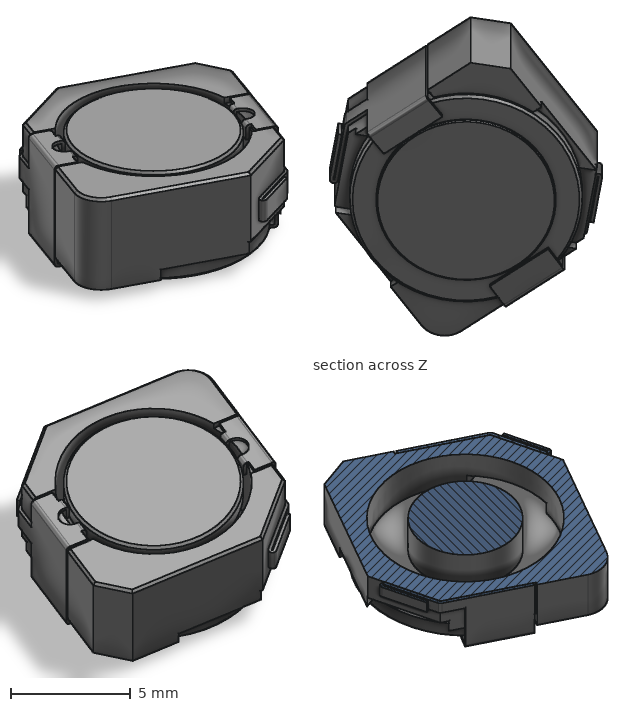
import cadquery as cq
import math


WIDTH = 10.0
HEIGHT = 4.8
HALF = WIDTH / 2

SHEET = 0.15
BEND_R = 0.18
INNER_BEND_R = BEND_R - SHEET
TERMINAL_W = 3.0
TAB_END = 3.99
FINGER_W = 1.96
FINGER_BOTTOM = 4.1
NOTCH_R = 0.49
NOTCH_CENTRE = 4.0
FOOT_END = 3.8
FOOT_ANGLE = 4.5
ARM_BOTTOM = 2.2
ARM_H = 1.0
FOLD_GAP = 0.05
FOLD_START = 0.96
FOLD_TIP = -1.16

DISC_D = 7.5
POST_D = 4.8
FLANGE_D = 9.7
PAD_BOTTOM = 0.15
FLANGE_BOTTOM = 0.27
FLANGE_TOP = 1.0
TOP_FLANGE_T = FLANGE_TOP - FLANGE_BOTTOM

BORE_D = 8.2
EDGE_CHAMFER = 0.12
SHIELD_BOTTOM = 0.5
RECESS_W = 3.2
RECESS_FLOOR = 4.52
BIG_CUT = 2.58
SMALL_CUT = 1.2
CHANNEL_W = 3.75
CHANNEL_TOP = 1.54

SEAT_Y = HALF - SHEET
CORNER_DIST = (WIDTH - BIG_CUT) / math.sqrt(2)


def block(x0, x1, y0, y1, z0, z1):
    """Box given by its limits."""
    return cq.Workplane("XY").box(x1 - x0, y1 - y0, z1 - z0, centered=False).translate((x0, y0, z0))


def cylinder(diameter, z0, z1):
    return cq.Workplane("XY").workplane(offset=z0).circle(diameter / 2).extrude(z1 - z0)


def half_turn(body):
    return body.rotate((0, 0, 0), (0, 0, 1), 180)


def shield_blank():
    """Outer outline; half of each terminal side is set back by the sheet thickness."""
    corner_x = HALF - BIG_CUT + SHEET
    straight = HALF - SMALL_CUT
    arc_mid = straight + SMALL_CUT * math.sqrt(0.5)
    return (
        cq.Workplane("XY").workplane(offset=SHIELD_BOTTOM)
        .moveTo(-HALF, -HALF + BIG_CUT)
        .lineTo(-corner_x, -SEAT_Y)
        .lineTo(0, -SEAT_Y)
        .lineTo(0, -HALF)
        .lineTo(straight, -HALF)
        .threePointArc((arc_mid, -arc_mid), (HALF, -straight))
        .lineTo(HALF, HALF - BIG_CUT)
        .lineTo(corner_x, SEAT_Y)
        .lineTo(0, SEAT_Y)
        .lineTo(0, HALF)
        .lineTo(-straight, HALF)
        .lineTo(-HALF, straight)
        .close()
        .extrude(HEIGHT - SHIELD_BOTTOM)
    )


def make_shield():
    edge = RECESS_W / 2
    body = shield_blank().faces(">Z").edges().chamfer(EDGE_CHAMFER)
    body = body.cut(cylinder(BORE_D, 0, HEIGHT))

    foot = block(-HALF, -edge, edge, HALF, 0, FLANGE_TOP).cut(cylinder(FLANGE_D, 0, FLANGE_TOP))
    underside = block(-HALF, HALF, -HALF, HALF, 0, FLANGE_TOP).cut(foot).cut(half_turn(foot))
    body = body.cut(underside)

    recess = block(-edge, edge, -HALF, 0, RECESS_FLOOR, HEIGHT)
    recess = recess.union(block(-edge, edge, -HALF, -SEAT_Y, 0, HEIGHT))
    channel = block(-WIDTH, 0, -CHANNEL_W / 2, CHANNEL_W / 2, 0, CHANNEL_TOP)
    channel = channel.rotate((0, 0, 0), (0, 0, 1), 45)
    for cutter in (recess, channel):
        body = body.cut(cutter).cut(half_turn(cutter))
    return body


def make_core():
    pad = cylinder(DISC_D, PAD_BOTTOM, FLANGE_BOTTOM).faces("<Z").chamfer(EDGE_CHAMFER / 2)
    flange = cylinder(FLANGE_D, FLANGE_BOTTOM, FLANGE_TOP).faces("<Z").chamfer(EDGE_CHAMFER)
    post = cylinder(POST_D, FLANGE_TOP, HEIGHT - TOP_FLANGE_T)
    top = cylinder(DISC_D, HEIGHT - TOP_FLANGE_T, HEIGHT).faces(">Z").chamfer(EDGE_CHAMFER)
    return pad.union(flange).union(post).union(top)


def bent_sheet(profile, width, bends):
    """Extrude a (Y, Z) profile symmetrically along X and round the listed corners."""
    sheet = cq.Workplane("YZ").polyline(profile).close().extrude(width / 2, both=True)
    for y, z, radius in bends:
        sheet = sheet.edges(cq.selectors.NearestToPointSelector((0, y, z))).fillet(radius)
    return sheet


def terminal_clip():
    """Top tab, upright wall and sloping solder foot."""
    underside = HEIGHT - SHEET
    slope = math.tan(math.radians(FOOT_ANGLE))
    stretch = math.hypot(1, slope)
    heel = BEND_R * (1 - stretch - slope)
    foot_tip = heel + slope * (HALF - FOOT_END)
    inner_heel = heel + SHEET * (slope + stretch)
    profile = [
        (-TAB_END, HEIGHT), (-HALF, HEIGHT), (-HALF, heel),
        (-FOOT_END, foot_tip), (-FOOT_END, foot_tip + SHEET * stretch),
        (-SEAT_Y, inner_heel), (-SEAT_Y, underside), (-TAB_END, underside),
    ]
    bends = [
        (-HALF, HEIGHT, BEND_R), (-SEAT_Y, underside, INNER_BEND_R),
        (-HALF, heel, BEND_R), (-SEAT_Y, inner_heel, INNER_BEND_R),
    ]
    return bent_sheet(profile, TERMINAL_W, bends)


def terminal_fingers():
    """Strip bent down into the gap around the core; the notch splits it in two."""
    tip = DISC_D / 2
    back = tip + SHEET
    underside = HEIGHT - SHEET
    profile = [
        (-SEAT_Y + BEND_R, HEIGHT), (-tip, HEIGHT), (-tip, FINGER_BOTTOM),
        (-back, FINGER_BOTTOM), (-back, underside), (-SEAT_Y + BEND_R, underside),
    ]
    bends = [(-tip, HEIGHT, BEND_R), (-back, underside, INNER_BEND_R)]
    return bent_sheet(profile, FINGER_W, bends)


def finger_notch():
    slot = block(-NOTCH_R, NOTCH_R, -NOTCH_CENTRE, 0, FINGER_BOTTOM, HEIGHT)
    round_end = cylinder(2 * NOTCH_R, FINGER_BOTTOM, HEIGHT).translate((0, -NOTCH_CENTRE, 0))
    return slot.union(round_end)


def terminal_arm():
    """Side arm that wraps the clipped corner and folds back on itself."""
    def on_corner(along, out):
        """Point at a position along the clipped corner face and a distance out from it."""
        reach = CORNER_DIST + out
        return (-(reach + along) / math.sqrt(2), (along - reach) / math.sqrt(2))

    inner_x = -(HALF - BIG_CUT + SHEET)
    outer_x = inner_x - SHEET * math.tan(math.pi / 8)
    fold_outer_r = SHEET + FOLD_GAP / 2
    stack = 2 * fold_outer_r
    strip_end = -TERMINAL_W / 2
    arm = (
        cq.Workplane("XY").workplane(offset=ARM_BOTTOM)
        .moveTo(strip_end, -SEAT_Y)
        .lineTo(inner_x, -SEAT_Y)
        .lineTo(*on_corner(FOLD_START, 0))
        .threePointArc(on_corner(FOLD_START + fold_outer_r, stack / 2), on_corner(FOLD_START, stack))
        .lineTo(*on_corner(FOLD_TIP, stack))
        .lineTo(*on_corner(FOLD_TIP, stack - SHEET))
        .lineTo(*on_corner(FOLD_START, stack - SHEET))
        .threePointArc(on_corner(FOLD_START + FOLD_GAP / 2, stack / 2), on_corner(FOLD_START, SHEET))
        .lineTo(outer_x, -HALF)
        .lineTo(strip_end, -HALF)
        .close()
        .extrude(ARM_H)
    )
    bend = cq.selectors.NearestToPointSelector((outer_x, -HALF, ARM_BOTTOM + ARM_H / 2))
    return arm.edges(bend).fillet(BEND_R)


def make_terminal():
    return terminal_clip().union(terminal_fingers()).cut(finger_notch()).union(terminal_arm())


shield = make_shield()
core = make_core()
terminals = [make_terminal().rotate((0, 0, 0), (0, 0, 1), angle) for angle in (0, 180)]

result = cq.Compound.makeCompound([shield.val(), core.val(), *[t.val() for t in terminals]])